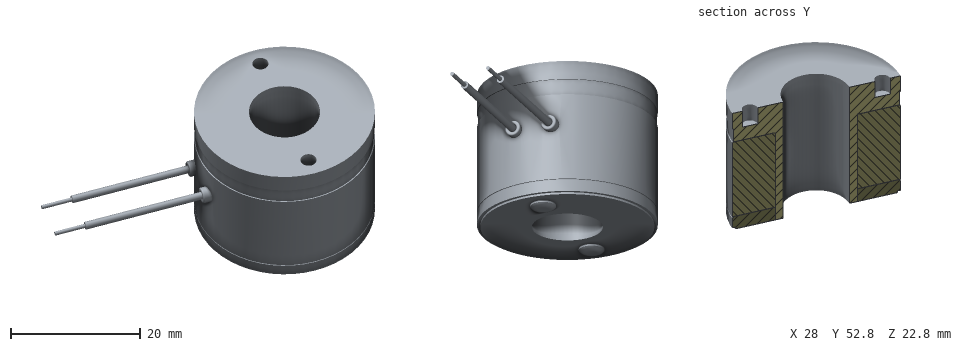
import cadquery as cq

BASE_STEP_HEIGHT = 0.3
BASE_HEIGHT = 2.4
HOUSING_HEIGHT = 14.1
STEP_HEIGHT = 2.55
FLANGE_HEIGHT = 3.0
GROOVE_WIDTH = 0.15

HOUSING_BOTTOM = BASE_HEIGHT
HOUSING_TOP = HOUSING_BOTTOM + HOUSING_HEIGHT
FLANGE_BOTTOM = HOUSING_TOP + STEP_HEIGHT
TOTAL_HEIGHT = FLANGE_BOTTOM + FLANGE_HEIGHT

OUTER_RADIUS = 14.0
STEP_RADIUS = 13.85
HUB_RADIUS = 6.85
BORE_RADIUS = 5.5
BASE_STEP_INSET = 0.55
GROOVE_DEPTH = 0.15

PIN_HOLE_DIAMETER = 2.5
PIN_HOLE_DEPTH = FLANGE_HEIGHT
PIN_HOLE_OFFSET = 11.0

SCREW_OFFSET = 9.65
SCREW_POSITIONS = [-SCREW_OFFSET, SCREW_OFFSET]
SCREW_RADIUS = 2.0
SCREW_RIM_HEIGHT = 0.25
SCREW_HEAD_HEIGHT = 0.75
SCREW_TIP_RADIUS = 0.95
SCREW_SHOULDER_RADIUS = 1.65
SCREW_SHOULDER_DEPTH = 0.6

TOTAL_LENGTH = 52.8
LEAD_OFFSET = 3.0
LEAD_POSITIONS = [-LEAD_OFFSET, LEAD_OFFSET]
LEAD_DROP = 5.0
LEAD_HEIGHT = HOUSING_TOP - LEAD_DROP
GROMMET_DIAMETER = 2.5
GROMMET_FILLET = 0.2
GROMMET_INNER_Y = -12.15
GROMMET_OUTER_Y = -14.8
SHEATH_DIAMETER = 1.2
SHEATH_END_Y = -33.85
CONDUCTOR_DIAMETER = 0.65
CONDUCTOR_END_Y = OUTER_RADIUS - TOTAL_LENGTH


def ring(outer_radius, inner_radius, bottom, top):
    """Upright ring between two heights."""
    return (
        cq.Workplane("XY", origin=(0, 0, bottom))
        .circle(outer_radius)
        .circle(inner_radius)
        .extrude(top - bottom)
    )


def lead_rod(x, diameter, start_y, end_y):
    """Round rod on a lead axis, running toward -Y from start_y to end_y."""
    return (
        cq.Workplane("XZ", origin=(x, start_y, LEAD_HEIGHT))
        .circle(diameter / 2)
        .extrude(start_y - end_y)
    )


def make_core():
    """Flange with a stepped underside and a hub that lines the whole bore."""
    core = ring(OUTER_RADIUS, BORE_RADIUS, FLANGE_BOTTOM, TOTAL_HEIGHT)
    core = core.union(ring(STEP_RADIUS, BORE_RADIUS, HOUSING_TOP, FLANGE_BOTTOM))
    core = core.union(ring(HUB_RADIUS, BORE_RADIUS, 0, HOUSING_TOP))
    pin_holes = (
        cq.Workplane("XY", origin=(0, 0, TOTAL_HEIGHT))
        .pushPoints([(-PIN_HOLE_OFFSET, 0), (PIN_HOLE_OFFSET, 0)])
        .circle(PIN_HOLE_DIAMETER / 2)
        .extrude(-PIN_HOLE_DEPTH)
    )
    return core.cut(pin_holes)


def make_housing():
    """Ring around the hub with a blind seat for each grommet."""
    housing = ring(OUTER_RADIUS, HUB_RADIUS, HOUSING_BOTTOM, HOUSING_TOP)
    for x in LEAD_POSITIONS:
        housing = housing.cut(lead_rod(x, GROMMET_DIAMETER, GROMMET_INNER_Y, GROMMET_OUTER_Y))
    return housing


def make_base():
    """Base ring with a stepped lower edge and a fine groove below the housing."""
    rim_bottom = HOUSING_BOTTOM - GROOVE_WIDTH
    profile = [
        (HUB_RADIUS, 0),
        (OUTER_RADIUS - BASE_STEP_INSET, 0),
        (OUTER_RADIUS - BASE_STEP_INSET, BASE_STEP_HEIGHT),
        (OUTER_RADIUS, BASE_STEP_HEIGHT),
        (OUTER_RADIUS, rim_bottom),
        (OUTER_RADIUS - GROOVE_DEPTH, rim_bottom),
        (OUTER_RADIUS - GROOVE_DEPTH, HOUSING_BOTTOM),
        (HUB_RADIUS, HOUSING_BOTTOM),
    ]
    return cq.Workplane("XZ").polyline(profile).close().revolve(360, (0, 0), (0, 1))


def make_grommet(x):
    """Collar seated in the housing, bored for the wire, with both edges of its outer end rounded."""
    collar = lead_rod(x, GROMMET_DIAMETER, GROMMET_INNER_Y, GROMMET_OUTER_Y)
    collar = collar.cut(lead_rod(x, SHEATH_DIAMETER, GROMMET_INNER_Y, GROMMET_OUTER_Y))
    return collar.faces("<Y").edges().fillet(GROMMET_FILLET)


def make_wire(x):
    """Sheathed wire with a stripped end."""
    sheath = lead_rod(x, SHEATH_DIAMETER, GROMMET_INNER_Y, SHEATH_END_Y)
    return sheath.union(lead_rod(x, CONDUCTOR_DIAMETER, SHEATH_END_Y, CONDUCTOR_END_Y))


def make_screw_head(y):
    """Low button head hanging from the underside of the base."""
    head = (
        cq.Workplane("XZ")
        .lineTo(SCREW_RADIUS, 0)
        .lineTo(SCREW_RADIUS, -SCREW_RIM_HEIGHT)
        .threePointArc(
            (SCREW_SHOULDER_RADIUS, -SCREW_SHOULDER_DEPTH),
            (SCREW_TIP_RADIUS, -SCREW_HEAD_HEIGHT),
        )
        .lineTo(0, -SCREW_HEAD_HEIGHT)
        .close()
        .revolve(360, (0, 0), (0, 1))
    )
    return head.translate((0, y, 0))


core = make_core()
housing = make_housing()
base = make_base()
grommets = [make_grommet(x) for x in LEAD_POSITIONS]
wires = [make_wire(x) for x in LEAD_POSITIONS]
screw_heads = [make_screw_head(y) for y in SCREW_POSITIONS]

bodies = [core, housing, base, *grommets, *wires, *screw_heads]
result = cq.Compound.makeCompound([body.solids().val() for body in bodies])